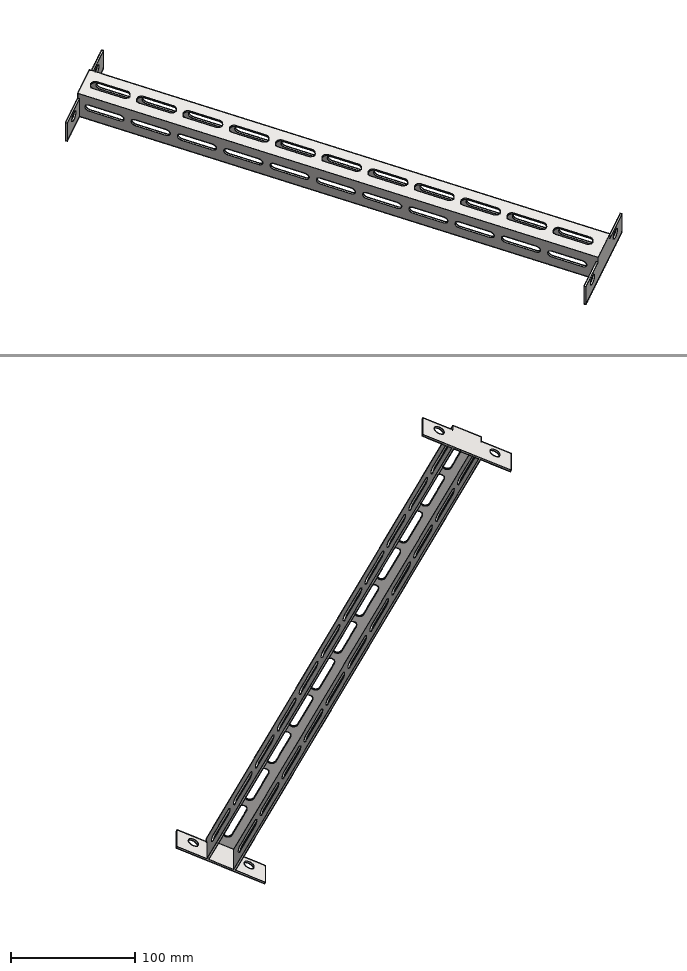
import cadquery as cq

length = 450.0
flange_span = 79.0
height = 30.0
sheet = 1.7

channel_width = 25.5

flange_height = 24.0
bolt_hole_diameter = 9.0
bolt_hole_spacing = 50.0
bolt_hole_z = 15.5

slot_count = 11
slot_length = 33.8
slot_width = 7.5
first_slot_gap = 6.5
last_slot_gap = 10.0
slot_pitch = (length - first_slot_gap - last_slot_gap - slot_length) / (slot_count - 1)
slot_z = height / 2


def box_on_floor(size_x, size_y, size_z, start_x=0):
    """Box standing on Z = 0, centred in Y and starting at start_x."""
    return cq.Workplane("XY", origin=(start_x, 0, 0)).box(
        size_x, size_y, size_z, centered=(False, True, False)
    )


def make_channel():
    """Thin channel, closed at both ends and open at the bottom."""
    outside = box_on_floor(length, channel_width, height)
    inside = box_on_floor(
        length - 2 * sheet, channel_width - 2 * sheet, height - sheet, start_x=sheet
    )
    return outside.cut(inside)


def make_end_flange(start_x):
    """Flat flange across one channel end, with a bolt hole in each wing."""
    flange = box_on_floor(sheet, flange_span, flange_height, start_x)
    holes = (
        cq.Workplane("YZ", origin=(start_x, 0, bolt_hole_z))
        .rarray(bolt_hole_spacing, 4.5, 2, 1)
        .circle(bolt_hole_diameter / 2)
        .extrude(sheet)
    )
    return flange.cut(holes)


def make_slot_row(plane, origin, depth):
    """Row of round-ended slots along X, cut symmetrically about the plane."""
    first_center = first_slot_gap + slot_length / 2
    centers = [(first_center + index * slot_pitch, 0) for index in range(slot_count)]
    return (
        cq.Workplane(plane, origin=origin)
        .pushPoints(centers)
        .slot2D(slot_length, slot_width)
        .extrude(depth, both=True)
    )


result = make_channel()
for flange_start in (0, length - sheet):
    result = result.union(make_end_flange(flange_start))

side_slots = make_slot_row("XZ", (0, 0, slot_z), channel_width)
top_slots = make_slot_row("XY", (0, 0, height), sheet)
result = result.cut(side_slots).cut(top_slots)